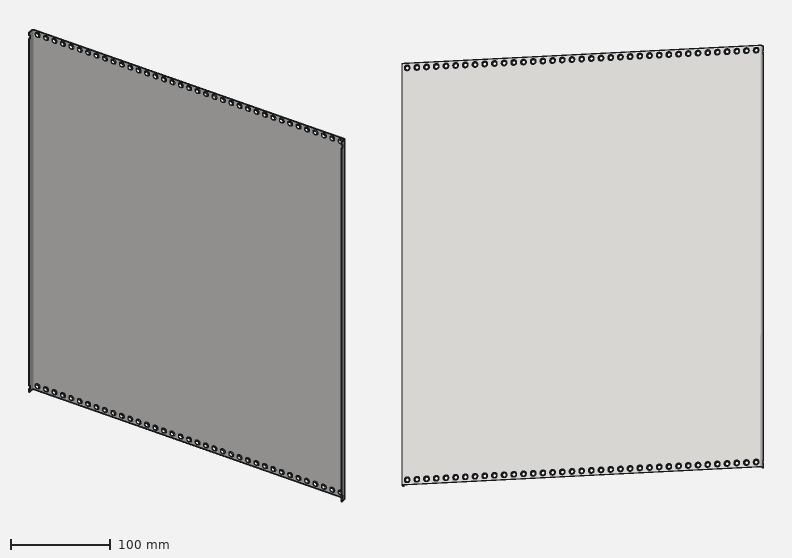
import cadquery as cq
import math

width = 372.0
depth = 7.5
height = 431.5
sheet = 1.0
bend_inner_radius = 1.45

hole_count = 37
hole_row_length = 360.0
hole_diameter = 3.93
hole_edge_land = 2.95
countersink_angle = 90.0

notch_radius = 2.0
notch_end_land = 3.35

back = depth / 2
front = -depth / 2
bend_outer_radius = bend_inner_radius + sheet
hole_pitch = hole_row_length / (hole_count - 1)
hole_row_spacing = height - hole_diameter - 2 * hole_edge_land
countersink_diameter = hole_diameter + 2 * sheet * math.tan(math.radians(countersink_angle / 2))
notch_spacing = height - 2 * (notch_end_land + notch_radius)


def make_channel():
    """Panel bent from sheet: flat back at +Y, flanges towards -Y."""
    outer = (
        cq.Workplane("XY")
        .box(width, depth, height)
        .edges("|Z and >Y")
        .fillet(bend_outer_radius)
    )
    inner = (
        cq.Workplane("XY")
        .box(width - 2 * sheet, depth, height)
        .translate((0, -sheet, 0))
        .edges("|Z and >Y")
        .fillet(bend_inner_radius)
    )
    return outer.cut(inner)


def cut_holes(panel):
    """Two rows of through holes, countersunk from the back through the whole sheet."""
    back_plane = cq.Plane(origin=(0, back, 0), xDir=(-1, 0, 0), normal=(0, 1, 0))
    return (
        panel.copyWorkplane(cq.Workplane(back_plane))
        .rarray(hole_pitch, hole_row_spacing, hole_count, 2)
        .cskHole(hole_diameter, countersink_diameter, countersink_angle)
    )


def make_notches():
    """Cylinders across both flanges, centred on the front edge of the flanges."""
    return (
        cq.Workplane("YZ")
        .center(front, 0)
        .rarray(4.5, notch_spacing, 1, 2)
        .circle(notch_radius)
        .extrude(width, both=True)
    )


result = cut_holes(make_channel()).cut(make_notches())